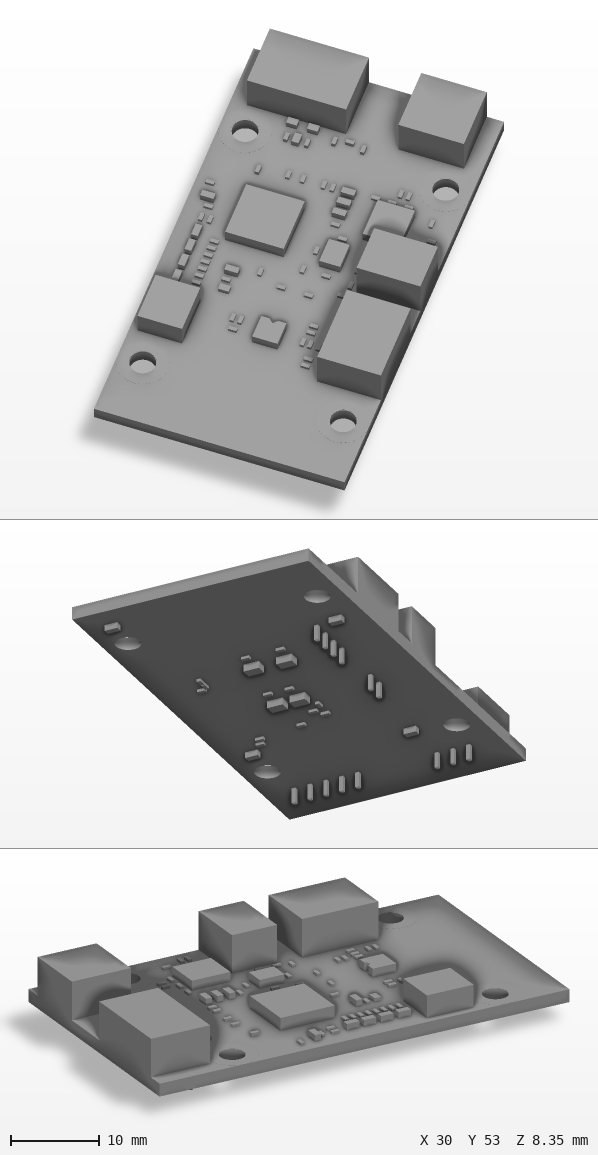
import cadquery as cq

BOARD_X = 30.0
BOARD_Y = 53.0
BOARD_T = 1.6

HOLE_D = 3.0
PAD_D = 6.0
PAD_HOLE_D = 3.2
PAD_T = 0.015
HOLE_INSET_X = PAD_D / 2
HOLE_ROWS_Y = (7.9, 41.9)

PIN_PITCH = 2.0
PIN_W = 0.5
PIN_LENGTH = 2.0
PIN_TIP_CHAMFER = 0.13
PIN_SETBACK = 6.2
CONNECTOR_DEPTH = 7.65
CONNECTOR_H = 4.75
CONNECTOR_END = 1.9

BACK_CONNECTORS = ((5, 7.9), (3, 24.0))
RIGHT_CONNECTORS = ((2, 28.1), (4, 17.0))

CHIPS = (
    (7.0, 7.0, 1.6, 9.5, 30.5),
    (4.45, 5.0, 1.2, 22.8, 34.7),
    (2.5, 3.25, 1.1, 18.45, 28.7),
    (5.35, 6.05, 2.8, 3.6, 14.9),
)
NOTCHED_CHIP = (3.0, 3.0, 1.1, 15.15, 16.2)
NOTCH_DEPTH = 0.55

RESISTOR = (1.0, 0.5, 0.345)
CAPACITOR = (1.0, 0.5, 0.505)
WIDE_RESISTOR = (1.25, 0.85, 0.505)
WIDE_CAPACITOR = (1.25, 0.85, 0.75)
LARGE_CAPACITOR = (1.6, 0.8, 0.85)
LED = (1.6, 0.8, 0.75)
DIODE = (1.95, 1.25, 0.9)

RESISTORS_ALONG_X = (
    (20.05, 38.0), (22.0, 38.0), (24.0, 38.0), (28.0, 34.45), (28.0, 33.5), (1.75, 33.75), (17.0, 33.0),
    (18.45, 31.45), (2.7, 30.6), (18.45, 25.95), (21.05, 24.0), (14.2, 22.8), (17.5, 22.8), (8.0, 21.75),
    (19.5, 19.0), (19.5, 18.0), (11.0, 15.55), (20.45, 14.45), (20.45, 13.5),
)
RESISTORS_ALONG_Y = (
    (22.5, 39.5), (23.5, 39.5), (9.7, 37.75), (11.45, 37.75), (13.95, 37.75), (15.0, 37.75), (27.2, 36.8),
    (2.45, 28.95), (3.5, 28.95), (16.2, 28.95), (21.5, 28.0), (15.7, 25.95), (21.5, 25.7), (11.3, 24.0),
    (10.5, 17.0), (11.45, 17.0), (19.1, 16.5), (20.0, 16.5), (21.0, 16.5),
)
RESISTOR_COLUMN_X = 5.0
RESISTOR_COLUMN_Y = 19.2
RESISTOR_COLUMN_PITCH = 1.0
RESISTOR_COLUMN_COUNT = 8
CAPACITORS_ALONG_X = ((14.75, 44.2),)
CAPACITORS_ALONG_Y = ((13.05, 43.8), (16.5, 43.8), (7.75, 42.5), (10.25, 42.5), (6.25, 37.2))
WIDE_RESISTORS_ALONG_X = ((8.25, 20.45),)
WIDE_CAPACITORS_ALONG_X = ((7.75, 44.5), (10.25, 44.5))
WIDE_CAPACITORS_ALONG_Y = ((8.95, 42.5),)
LARGE_CAPACITORS_ALONG_X = ((16.95, 37.45), (16.95, 36.0), (16.95, 34.45), (2.2, 31.7), (8.25, 22.95))
LARGE_CAPACITORS_ALONG_Y = ((2.7, 26.65), (2.7, 24.5), (2.7, 22.25), (2.7, 20.0))

BOTTOM_LEDS_ALONG_X = ((22.05, 40.35), (3.65, 37.05), (26.65, 13.25), (3.45, 3.25))
BOTTOM_DIODES_ALONG_X = ((11.6, 27.75), (14.4, 27.75), (13.2, 18.9), (17.3, 19.1))
BOTTOM_RESISTORS_ALONG_X = (
    (5.4, 35.5), (5.95, 34.45), (11.6, 33.6), (15.25, 32.5), (14.3, 31.4),
    (11.6, 25.5), (14.3, 25.5), (5.4, 21.3), (13.3, 16.8), (17.7, 16.8),
)
BOTTOM_RESISTORS_ALONG_Y = ((15.6, 30.25), (6.2, 20.5), (6.2, 19.4))


def block(length_x, length_y, height, x, y, base=BOARD_T):
    """Box centred on x, y that stands on the given level."""
    solid = cq.Workplane("XY").box(length_x, length_y, height, centered=(True, True, False))
    return solid.translate((x, y, base))


def parts_along_x(size, middles, underneath=False):
    """Equal blocks with the first size along X, on the top face or hanging from the underside."""
    length, width, height = size
    base = -height if underneath else BOARD_T
    return [block(length, width, height, x, y, base) for x, y in middles]


def parts_along_y(size, middles, underneath=False):
    """Equal blocks with the first size along Y."""
    length, width, height = size
    return parts_along_x((width, length, height), middles, underneath)


def make_discs(centres, diameter, base, height):
    return cq.Workplane("XY", origin=(0, 0, base)).pushPoints(centres).circle(diameter / 2).extrude(height)


def make_board():
    holes = [(x, y) for x in (HOLE_INSET_X, BOARD_X - HOLE_INSET_X) for y in HOLE_ROWS_Y]
    board = cq.Workplane("XY").box(BOARD_X, BOARD_Y, BOARD_T, centered=False)
    board = board.cut(make_discs(holes, HOLE_D, 0, BOARD_T))
    pads = make_discs(holes, PAD_D, BOARD_T, PAD_T)
    return board.union(pads.cut(make_discs(holes, PAD_HOLE_D, BOARD_T, PAD_T)))


def make_pin(x, y):
    pin = block(PIN_W, PIN_W, PIN_LENGTH, x, y, base=-PIN_LENGTH)
    return pin.faces("<Z").edges().chamfer(PIN_TIP_CHAMFER)


def pin_positions(count, middle):
    first = middle - (count - 1) * PIN_PITCH / 2
    return [first + i * PIN_PITCH for i in range(count)]


def connector_length(count):
    return (count - 1) * PIN_PITCH + 2 * CONNECTOR_END


def make_back_connector(count, middle):
    body_y = BOARD_Y - CONNECTOR_DEPTH / 2
    body = block(connector_length(count), CONNECTOR_DEPTH, CONNECTOR_H, middle, body_y)
    return [body] + [make_pin(x, BOARD_Y - PIN_SETBACK) for x in pin_positions(count, middle)]


def make_right_connector(count, middle):
    body_x = BOARD_X - CONNECTOR_DEPTH / 2
    body = block(CONNECTOR_DEPTH, connector_length(count), CONNECTOR_H, body_x, middle)
    return [body] + [make_pin(BOARD_X - PIN_SETBACK, y) for y in pin_positions(count, middle)]


def make_notched_chip():
    length_x, length_y, height, x, y = NOTCHED_CHIP
    notch = cq.Workplane("XY", origin=(x, y + length_y / 2, BOARD_T))
    notch = notch.polyline([(-NOTCH_DEPTH, 0), (0, -NOTCH_DEPTH), (NOTCH_DEPTH, 0)]).close().extrude(height)
    return block(*NOTCHED_CHIP).cut(notch)


resistor_column = [
    (RESISTOR_COLUMN_X, RESISTOR_COLUMN_Y + i * RESISTOR_COLUMN_PITCH)
    for i in range(RESISTOR_COLUMN_COUNT)
]

components = [block(*chip) for chip in CHIPS]
components.append(make_notched_chip())
for pin_count, middle_x in BACK_CONNECTORS:
    components += make_back_connector(pin_count, middle_x)
for pin_count, middle_y in RIGHT_CONNECTORS:
    components += make_right_connector(pin_count, middle_y)

components += parts_along_x(RESISTOR, RESISTORS_ALONG_X)
components += parts_along_y(RESISTOR, RESISTORS_ALONG_Y)
components += parts_along_x(RESISTOR, resistor_column)
components += parts_along_x(CAPACITOR, CAPACITORS_ALONG_X)
components += parts_along_y(CAPACITOR, CAPACITORS_ALONG_Y)
components += parts_along_x(WIDE_RESISTOR, WIDE_RESISTORS_ALONG_X)
components += parts_along_x(WIDE_CAPACITOR, WIDE_CAPACITORS_ALONG_X)
components += parts_along_y(WIDE_CAPACITOR, WIDE_CAPACITORS_ALONG_Y)
components += parts_along_x(LARGE_CAPACITOR, LARGE_CAPACITORS_ALONG_X)
components += parts_along_y(LARGE_CAPACITOR, LARGE_CAPACITORS_ALONG_Y)

components += parts_along_x(LED, BOTTOM_LEDS_ALONG_X, underneath=True)
components += parts_along_x(DIODE, BOTTOM_DIODES_ALONG_X, underneath=True)
components += parts_along_x(RESISTOR, BOTTOM_RESISTORS_ALONG_X, underneath=True)
components += parts_along_y(RESISTOR, BOTTOM_RESISTORS_ALONG_Y, underneath=True)

board_solid = make_board().val()
result = cq.Workplane("XY").newObject([board_solid.fuse(*[part.val() for part in components])])